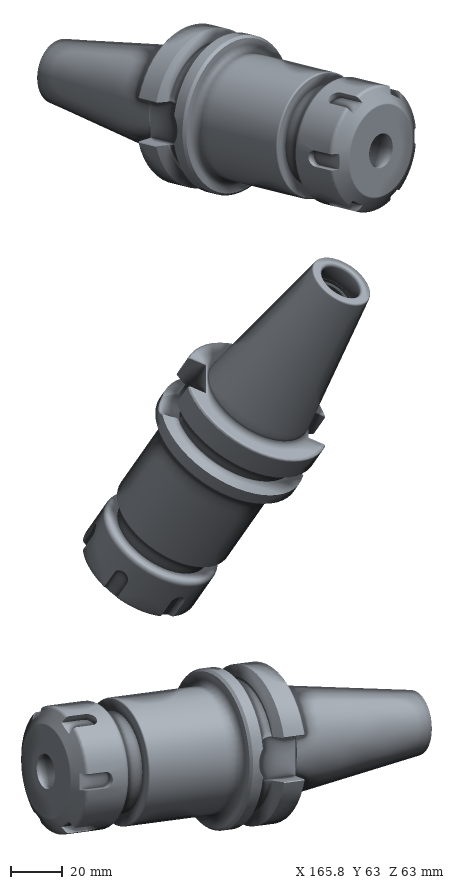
import cadquery as cq
import math


TAPER_LENGTH = 65.7
TAPER_LARGE_DIAMETER = 44.5
TAPER_RATIO = 7 / 24
TAPER_END_ROUND = 0.8
UNDERCUT_DIAMETER = 41.0
UNDERCUT_START = 66.5

FLANGE_RADIUS = 63.0 / 2
FLANGE_START = 67.3
FLANGE_END = 92.7
FLANGE_EDGE_ROUND = 1.0
FLANGE_EDGE_CHAMFER = 1.0
GROOVE_START = 79.5
GROOVE_END = 84.5
GROOVE_DIAMETER = 52.7
GROOVE_SIDE_FOOT_RADIUS = 27.4
GROOVE_SIDE_ANGLE = 30.0
GROOVE_SIDE_RUN = (FLANGE_RADIUS - GROOVE_SIDE_FOOT_RADIUS) * math.tan(math.radians(GROOVE_SIDE_ANGLE))

DRIVE_SLOT_WIDTH = 17.4
DRIVE_SLOT_END = 88.7
DRIVE_SLOT_CHAMFER = 0.3
DRIVE_SLOT_FLOOR = 22.5

BODY_DIAMETER = 50.0
BODY_END = 134.5
BODY_EDGE_FILLET = 0.7
BODY_FILLET = 2.8
NOSE_DIAMETER = 40.0
NOSE_END = 160.7

BORE_DIAMETER = 13.8
PILOT_DIAMETER = 17.0
PILOT_DEPTH = 9.1
RELIEF_DIAMETER = 17.4
RELIEF_START = 7.0
RELIEF_END = 8.0
PILOT_ROUND = 1.3

NUT_START = 143.0
NUT_END = 165.8
NUT_DIAMETER = BODY_DIAMETER
NUT_REAR_FILLET = 2.0
NUT_CONE_START = 162.0
NUT_CONE_ANGLE = 30.0
NUT_CONE_FILLET = 1.7
NUT_FACE_FILLET = 1.0

WRENCH_SLOT_COUNT = 6
WRENCH_SLOT_WIDTH = 6.5
WRENCH_SLOT_START = 150.7
WRENCH_SLOT_FLOOR = 21.9

CUT_MARGIN = 1.7
TOLERANCE = 0.02


def cylinder(diameter, start, end):
    """Cylinder on the X axis between two stations."""
    return cq.Workplane("YZ", origin=(start, 0, 0)).circle(diameter / 2).extrude(end - start)


def turned(outline):
    """Solid of revolution about X from (x, radius) points; the axis closes the outline."""
    return cq.Workplane("XY").polyline(outline).close().revolve(360, (0, 0), (1, 0))


def round_ended_slot(width, round_end, open_end, floor, body_radius, angle):
    """Radial cutter with a flat floor, half-round at one end, turned about X from the +Z side."""
    radius = width / 2
    arc_start = round_end + math.copysign(radius, open_end - round_end)
    return (
        cq.Workplane("XY", origin=(0, 0, floor))
        .moveTo(open_end, -radius)
        .lineTo(arc_start, -radius)
        .threePointArc((round_end, 0), (arc_start, radius))
        .lineTo(open_end, radius)
        .close()
        .extrude(body_radius + CUT_MARGIN - floor)
        .rotate((0, 0, 0), (1, 0, 0), angle)
    )


def edges_at(x, radius):
    """Selector for a full circular edge around X at the given station and radius."""
    return cq.selectors.BoxSelector(
        (x - TOLERANCE, -radius - TOLERANCE, -radius - TOLERANCE),
        (x + TOLERANCE, radius + TOLERANCE, radius + TOLERANCE),
        boundingbox=True,
    )


def make_shank():
    large_radius = TAPER_LARGE_DIAMETER / 2
    small_radius = large_radius - TAPER_LENGTH * TAPER_RATIO / 2
    shank = turned([
        (0, 0),
        (0, small_radius),
        (TAPER_LENGTH, large_radius),
        (UNDERCUT_START, large_radius),
        (UNDERCUT_START, UNDERCUT_DIAMETER / 2),
        (FLANGE_START, UNDERCUT_DIAMETER / 2),
        (FLANGE_START, 0),
    ])
    return shank.faces("<X").edges().fillet(TAPER_END_ROUND)


def is_outer_slot_edge(edge):
    """True for the drive slot edges that lie on the flange's taper-side face or on its rims."""
    middle = edge.positionAt(0.5)
    on_wall = abs(abs(middle.z) - DRIVE_SLOT_WIDTH / 2) < TOLERANCE
    outside_floor = abs(middle.y) > DRIVE_SLOT_FLOOR + TOLERANCE
    before_cone = middle.x < GROOVE_START - GROOVE_SIDE_RUN
    on_rim = math.hypot(middle.y, middle.z) > FLANGE_RADIUS - TOLERANCE
    round_end = on_rim and middle.x > GROOVE_END and edge.geomType() == "BSPLINE"
    return (on_wall and outside_floor and before_cone) or round_end


def make_flange():
    flange = turned([
        (FLANGE_START, 0),
        (FLANGE_START, FLANGE_RADIUS),
        (GROOVE_START - GROOVE_SIDE_RUN, FLANGE_RADIUS),
        (GROOVE_START, GROOVE_SIDE_FOOT_RADIUS),
        (GROOVE_START, GROOVE_DIAMETER / 2),
        (GROOVE_END, GROOVE_DIAMETER / 2),
        (GROOVE_END, GROOVE_SIDE_FOOT_RADIUS),
        (GROOVE_END + GROOVE_SIDE_RUN, FLANGE_RADIUS),
        (FLANGE_END, FLANGE_RADIUS),
        (FLANGE_END, 0),
    ])
    flange = flange.faces("<X").edges().fillet(FLANGE_EDGE_ROUND)
    flange = flange.faces(">X").edges().chamfer(FLANGE_EDGE_CHAMFER)
    for side_angle in (90, -90):
        flange = flange.cut(
            round_ended_slot(
                DRIVE_SLOT_WIDTH, DRIVE_SLOT_END, FLANGE_START, DRIVE_SLOT_FLOOR, FLANGE_RADIUS, side_angle
            )
        )
    return flange.edges().filter(is_outer_slot_edge).chamfer(DRIVE_SLOT_CHAMFER)


def make_holder():
    body = cylinder(BODY_DIAMETER, FLANGE_END, BODY_END).faces(">X").edges().fillet(BODY_EDGE_FILLET)
    holder = make_flange().union(body)
    holder = holder.edges(edges_at(FLANGE_END, BODY_DIAMETER / 2)).fillet(BODY_FILLET)
    holder = holder.union(make_shank()).union(cylinder(NOSE_DIAMETER, BODY_END, NOSE_END))
    holder = holder.cut(cylinder(BORE_DIAMETER, 0, NOSE_END)).cut(cylinder(PILOT_DIAMETER, 0, PILOT_DEPTH))
    holder = holder.cut(cylinder(RELIEF_DIAMETER, RELIEF_START, RELIEF_END))
    return holder.edges(edges_at(0, PILOT_DIAMETER / 2)).fillet(PILOT_ROUND)


def make_nut():
    radius = NUT_DIAMETER / 2
    face_radius = radius - (NUT_END - NUT_CONE_START) / math.tan(math.radians(NUT_CONE_ANGLE))
    nut = turned([
        (NUT_START, 0),
        (NUT_START, radius),
        (NUT_CONE_START, radius),
        (NUT_END, face_radius),
        (NUT_END, 0),
    ])
    nut = nut.faces("<X").edges().fillet(NUT_REAR_FILLET)
    nut = nut.faces(">X").edges().fillet(NUT_FACE_FILLET)
    nut = nut.edges(edges_at(NUT_CONE_START, radius)).fillet(NUT_CONE_FILLET)
    nut = nut.cut(cylinder(NOSE_DIAMETER, NUT_START, NOSE_END))
    nut = nut.cut(cylinder(BORE_DIAMETER, NOSE_END, NUT_END))
    for index in range(WRENCH_SLOT_COUNT):
        angle = 90 + index * 360 / WRENCH_SLOT_COUNT
        nut = nut.cut(
            round_ended_slot(
                WRENCH_SLOT_WIDTH, WRENCH_SLOT_START, NUT_END, WRENCH_SLOT_FLOOR, radius, angle
            )
        )
    return nut


holder = make_holder()
nut = make_nut()

result = cq.Compound.makeCompound([holder.val(), nut.val()])